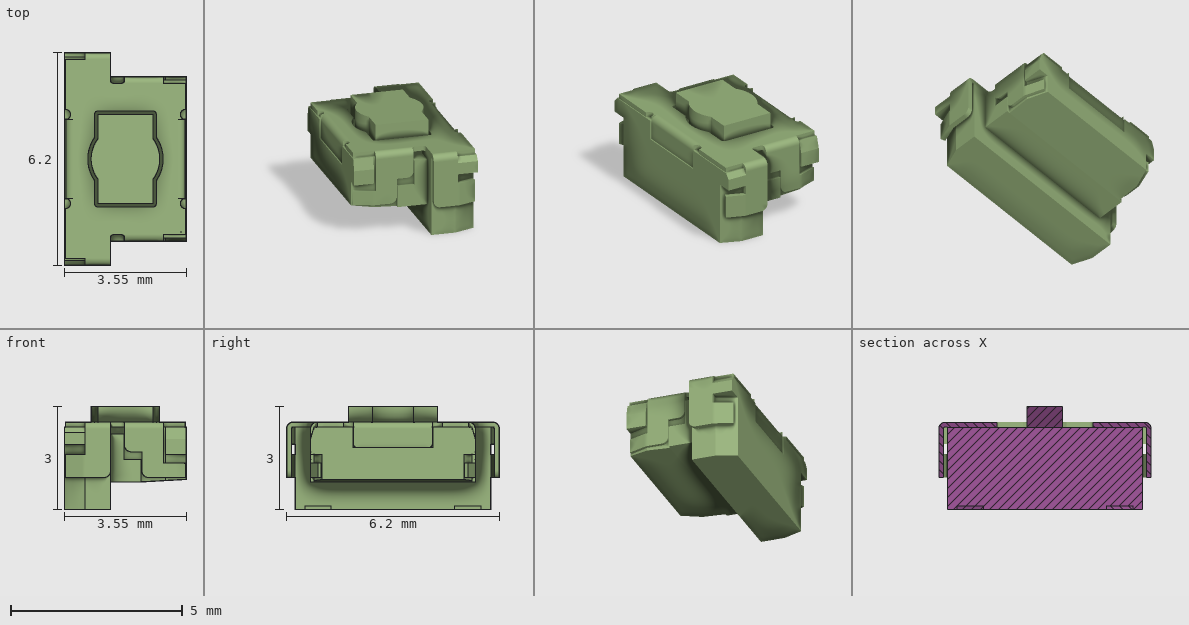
import cadquery as cq
import math


width = 3.55
length = 6.2
height = 3.0
half_width = width / 2

sheet = 0.15
cover_top = 2.55
bend_radius = 0.2
inner_bend_radius = bend_radius - sheet
plate_half_x = 1.75
housing_top = cover_top - sheet

foot_end_x = -0.435
foot_leg_start_x = -1.17
arm_leg_start_x = -0.03
arm_leg_end_x = 1.11
arm_leg_step_x = 0.48
arm_leg_step_z = 1.68
leg_bottom = 0.93
leg_corner_radius = 0.2
notch_radius = 0.1

foot_leg_y = length / 2
arm_leg_y = 2.4
foot_plate_y = foot_leg_y - bend_radius
arm_plate_y = arm_leg_y - bend_radius

foot_wing_top = 1.605
arm_wing_top = 1.35
arm_wing_bend_radius = 0.3
wing_angle = 20.0

tab_face_x = 1.735
tab_half_y = 1.15
tab_bottom = 1.805
tab_corner_radius = 0.1
relief_radius = 0.15
relief_y = tab_half_y + relief_radius

clearance = 0.02
corner_start_x = 1.17
corner_depth = 0.235
foot_y = 2.85
arm_bottom = 0.8
arm_end_bottom = 0.875
ledge_bottom = 1.9
ledge_chamfer_y = 0.135
ledge_chamfer_z = 0.155
arm_ledge_bottom = 1.605
arm_ledge_chamfer_y = 0.1
arm_ledge_chamfer_z = 0.35
arm_y = arm_leg_y - arm_ledge_chamfer_y
rib_top = 2.2
rib_step_z = 1.45
rib_step_x = arm_leg_step_x - clearance
pocket_inner_y = 1.905

button_half_x = 0.8
button_half_y = 1.3
button_radius = 1.0
button_gap = 0.1

terminal_inner_y = 1.8
terminal_outer_y = 2.56
terminal_thickness = 0.1


def box(x0, x1, y0, y1, z0, z1):
    """Box between two corners."""
    return cq.Workplane("XY").box(x1 - x0, y1 - y0, z1 - z0, centered=False).translate((x0, y0, z0))


def across_y(points, half_y):
    """Prism with an outline in the XZ plane, reaching half_y to both sides of it."""
    return cq.Workplane("XZ").polyline(points).close().extrude(half_y, both=True)


def along_x(points, x0, x1):
    """Prism with an outline in the YZ plane, from x0 to x1."""
    return cq.Workplane("YZ").workplane(offset=x0).polyline(points).close().extrude(x1 - x0)


def upright(points, z0, z1):
    """Prism with an outline in plan, from z0 to z1."""
    return cq.Workplane("XY").workplane(offset=z0).polyline(points).close().extrude(z1 - z0)



def chamfered_ledge(x0, x1, half_y, bottom, chamfer_y, chamfer_z):
    """Overhanging block under the plate, with its two long top edges chamfered."""
    return along_x(
        [
            (-half_y, bottom),
            (half_y, bottom),
            (half_y, housing_top - chamfer_z),
            (half_y - chamfer_y, housing_top),
            (chamfer_y - half_y, housing_top),
            (-half_y, housing_top - chamfer_z),
        ],
        x0,
        x1,
    )


def tapered_block(x_inner, x_corner, x_end, half_y, bottom):
    """Upright block whose two outer corners are cut off at an angle."""
    end_y = half_y - corner_depth
    return upright(
        [
            (x_inner, -half_y),
            (x_corner, -half_y),
            (x_end, -end_y),
            (x_end, end_y),
            (x_corner, half_y),
            (x_inner, half_y),
        ],
        bottom,
        housing_top,
    )


def make_housing():
    """Foot and arm with their overhanging ledges, ribs, recesses and pockets."""
    foot = tapered_block(foot_end_x, -corner_start_x, -half_width, foot_y, 0)
    foot_ledge = chamfered_ledge(
        -half_width, -corner_start_x, foot_leg_y, ledge_bottom, ledge_chamfer_y, ledge_chamfer_z
    )

    arm = tapered_block(foot_end_x, corner_start_x, half_width, arm_y, arm_bottom)
    underside = across_y(
        [(rib_step_x, arm_bottom), (half_width, arm_bottom), (half_width, arm_end_bottom)], arm_y
    )
    arm = arm.cut(underside)
    arm_ledge = chamfered_ledge(
        corner_start_x, half_width, arm_leg_y, arm_ledge_bottom, arm_ledge_chamfer_y, arm_ledge_chamfer_z
    )

    rib_x = arm_leg_start_x - clearance
    rib = across_y(
        [
            (foot_end_x, arm_bottom),
            (rib_step_x, arm_bottom),
            (rib_step_x, rib_step_z),
            (rib_x, rib_step_z),
            (rib_x, rib_top),
            (foot_end_x, rib_top),
        ],
        arm_leg_y,
    )

    body = foot.union(foot_ledge).union(arm).union(arm_ledge).union(rib)
    return body.cut(make_tab_recesses()).cut(make_notch_pockets()).cut(make_terminals())


def make_notch_pockets():
    """Pockets above the ribs, open at the leg notches and reaching in under the plate."""
    pocket = box(foot_end_x, arm_leg_start_x, pocket_inner_y, arm_leg_y, rib_top, housing_top)
    return pocket.union(pocket.mirror("XZ"))


def make_tab_recesses():
    """Recesses for the tabs in the -X and +X walls, deep enough to clear the bends."""
    recess_y = tab_half_y + clearance
    inner_x = tab_face_x - bend_radius
    right = box(inner_x, half_width, -recess_y, recess_y, tab_bottom, housing_top)
    return right.union(right.mirror("YZ"))



def rounded_bar(plane, half_span, half_depth, half_run, radius):
    """Bar centred on the origin, with its four long edges rounded."""
    run_edges = "|X" if plane == "YZ" else "|Y"
    bar = cq.Workplane(plane).rect(2 * half_span, 2 * half_depth).extrude(half_run, both=True)
    return bar.edges(run_edges).fillet(radius)


def channel(plane, half_span, bottom, half_run):
    """Sheet under the cover top, bent down at both ends of its span as far as the bottom height."""
    outer = rounded_bar(plane, half_span, cover_top - bottom, half_run, bend_radius)
    inner = rounded_bar(plane, half_span - sheet, housing_top - bottom, half_run, inner_bend_radius)
    upper_half = box(-length, length, -length, length, 0, cover_top)
    return outer.cut(inner).intersect(upper_half).translate((0, 0, bottom))


def make_plate():
    foot_plate = box(-plate_half_x, foot_end_x, -foot_plate_y, foot_plate_y, housing_top, cover_top)
    arm_plate = box(foot_end_x, plate_half_x, -arm_plate_y, arm_plate_y, housing_top, cover_top)
    web_y = arm_plate_y + notch_radius
    webs = box(foot_end_x, foot_end_x + notch_radius, -web_y, web_y, housing_top, cover_top)
    return foot_plate.union(arm_plate).union(webs)


def make_foot_legs():
    outline = across_y(
        [
            (foot_leg_start_x, leg_bottom),
            (foot_end_x, leg_bottom),
            (foot_end_x, cover_top),
            (foot_leg_start_x, cover_top),
        ],
        length,
    )
    outline = outline.edges("|Y and >X and <Z").fillet(leg_corner_radius)
    return channel("YZ", foot_leg_y, leg_bottom, width).intersect(outline)


def make_arm_legs():
    """Stepped legs, narrower at the bottom, with rounded corners towards the foot."""
    outline = (
        cq.Workplane("XZ")
        .moveTo(arm_leg_end_x, leg_bottom)
        .lineTo(arm_leg_step_x + leg_corner_radius, leg_bottom)
        .radiusArc((arm_leg_step_x, leg_bottom + leg_corner_radius), leg_corner_radius)
        .lineTo(arm_leg_step_x, arm_leg_step_z)
        .lineTo(arm_leg_start_x + leg_corner_radius, arm_leg_step_z)
        .radiusArc((arm_leg_start_x, arm_leg_step_z + leg_corner_radius), leg_corner_radius)
        .lineTo(arm_leg_start_x, housing_top)
        .lineTo(arm_leg_start_x - notch_radius, housing_top)
        .lineTo(arm_leg_start_x - notch_radius, cover_top)
        .lineTo(arm_leg_end_x, cover_top)
        .close()
        .extrude(length, both=True)
    )
    return channel("YZ", arm_leg_y, leg_bottom, width).intersect(outline)


def make_leg_notches():
    """Round-cornered notches in the sheet between the foot part and the arm legs."""
    notch = box(foot_end_x, arm_leg_start_x, arm_plate_y, foot_leg_y, housing_top, cover_top)
    notch = notch.edges("|Z and <Y").fillet(notch_radius)
    return notch.union(notch.mirror("XZ"))


def make_wings(leg_x, outer_radius, outer_y, top):
    """Pair of wings: each curves inwards from the side of a leg, then runs straight to its tip."""
    side = math.copysign(1, leg_x)
    angle = math.radians(wing_angle)
    inner_radius = outer_radius - sheet

    def on_bend(radius, turn):
        return (leg_x + side * radius * math.sin(turn), outer_y - outer_radius + radius * math.cos(turn))

    outer_end_x, outer_end_y = on_bend(outer_radius, angle)
    tip_x = side * plate_half_x
    tip_y = outer_end_y - abs(tip_x - outer_end_x) * math.tan(angle)
    wing = (
        cq.Workplane("XY")
        .workplane(offset=leg_bottom)
        .moveTo(leg_x, outer_y)
        .threePointArc(on_bend(outer_radius, angle / 2), (outer_end_x, outer_end_y))
        .lineTo(tip_x, tip_y)
        .lineTo(tip_x - side * sheet * math.sin(angle), tip_y - sheet * math.cos(angle))
        .lineTo(*on_bend(inner_radius, angle))
        .threePointArc(on_bend(inner_radius, angle / 2), (leg_x, outer_y - sheet))
        .close()
        .extrude(top - leg_bottom)
    )
    return wing.union(wing.mirror("XZ"))


def make_side_tabs():
    """Strip across the plate with a bent-down tab at each end."""
    tabs = channel("XZ", tab_face_x, tab_bottom, tab_half_y)
    outline = box(-width, width, -tab_half_y, tab_half_y, tab_bottom, cover_top)
    return tabs.intersect(outline.edges("|X and <Z").fillet(tab_corner_radius))


def make_reliefs():
    """Round notches in the plate edge beside the ends of the side tabs."""
    centres = [(x, y) for x in (-plate_half_x, plate_half_x) for y in (-relief_y, relief_y)]
    return (
        cq.Workplane("XY")
        .workplane(offset=housing_top)
        .pushPoints(centres)
        .circle(relief_radius)
        .extrude(sheet)
    )


def make_cover():
    strip_space = box(-plate_half_x, plate_half_x, -tab_half_y, tab_half_y, housing_top, cover_top)
    cover = make_plate().cut(strip_space).union(make_side_tabs())
    cover = cover.union(make_foot_legs()).union(make_arm_legs())
    cover = cover.union(make_wings(foot_leg_start_x, bend_radius, foot_leg_y, foot_wing_top))
    cover = cover.union(make_wings(arm_leg_end_x, arm_wing_bend_radius, arm_leg_y, arm_wing_top))
    cover = cover.cut(make_leg_notches()).cut(make_reliefs())
    window = button_shape(button_gap, housing_top, cover_top)
    return cover.cut(window.edges("|Z and (>Y or <Y)").fillet(button_gap))



def button_shape(margin, bottom, top):
    """Rectangle with a round bulge on each long side, grown by a margin all round."""
    bar_x = button_half_x + margin
    bar_y = button_half_y + margin
    bar = box(-bar_x, bar_x, -bar_y, bar_y, bottom, top)
    bulge = cq.Workplane("XY").workplane(offset=bottom).circle(button_radius + margin)
    return bar.union(bulge.extrude(top - bottom))


def make_terminals():
    """Two flat terminals set flush into the underside of the foot."""
    right = box(-half_width, foot_end_x, terminal_inner_y, terminal_outer_y, 0, terminal_thickness)
    return right.add(right.mirror("XZ"))


cover = make_cover()
housing = make_housing().cut(cover)
button = button_shape(0, housing_top, height)
terminals = make_terminals()

result = cq.Compound.makeCompound([housing.val(), cover.val(), button.val(), *terminals.vals()])